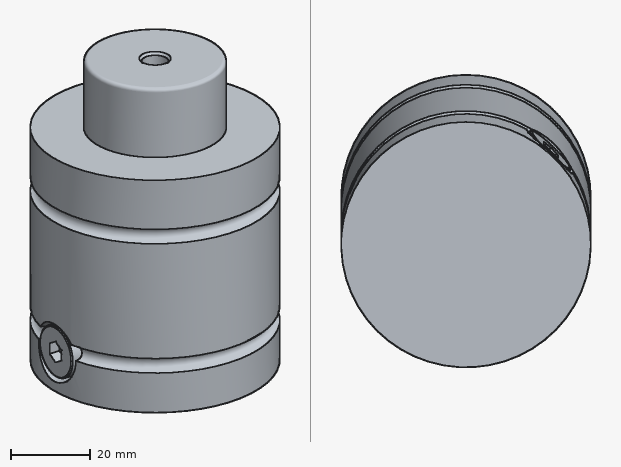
import cadquery as cq
import math

total_height = 84.0
body_diameter = 63.0
body_height = 64.85
rod_diameter = 36.0
rod_fillet = 1.0

groove_width = 4.0
groove_depth = 2.2
groove_heights = (13.1, 49.1)

hole_diameter = 6.8
hole_mouth_diameter = 8.0
hole_mouth_depth = 0.75
hole_depth = 12.6
drill_point_angle = 118.0

plug_height = 10.7
counterbore_diameter = 16.0
counterbore_depth = 5.0
plug_diameter = 14.0
plug_chamfer = 0.3
plug_recess = 0.5
socket_across_flats = 5.0
socket_depth = 3.0

body_radius = body_diameter / 2


def make_body():
    """Stepped cylinder with a rounded rod end."""
    body = cq.Workplane("XY").circle(body_radius).extrude(body_height)
    rod = cq.Workplane("XY").circle(rod_diameter / 2).extrude(total_height)
    return body.union(rod.faces(">Z").edges().fillet(rod_fillet))


def make_groove(height):
    """Ring with a semicircular bottom and short straight walls at the body surface."""
    radius = groove_width / 2
    wall_start = body_radius - groove_depth + radius
    cutter_edge = body_radius + radius
    return (
        cq.Workplane("XZ")
        .moveTo(cutter_edge, height - radius)
        .lineTo(wall_start, height - radius)
        .threePointArc((body_radius - groove_depth, height), (wall_start, height + radius))
        .lineTo(cutter_edge, height + radius)
        .close()
        .revolve(360, (0, 0), (0, 1))
    )


def make_rod_hole():
    """Drilled hole with a chamfered mouth and a conical bottom."""
    radius = hole_diameter / 2
    mouth_radius = hole_mouth_diameter / 2
    chamfer_bottom = total_height - hole_mouth_depth
    hole_floor = total_height - hole_depth
    point_length = radius / math.tan(math.radians(drill_point_angle / 2))
    return (
        cq.Workplane("XZ")
        .moveTo(0, total_height)
        .lineTo(mouth_radius, total_height)
        .lineTo(radius, chamfer_bottom)
        .lineTo(radius, hole_floor)
        .lineTo(0, hole_floor - point_length)
        .close()
        .revolve(360, (0, 0), (0, 1))
    )


def side_plane(depth):
    """Plane facing -Y at the plug axis, sunk below the body surface by depth."""
    origin = (0, depth - body_radius, plug_height)
    return cq.Workplane(cq.Plane(origin=origin, xDir=(1, 0, 0), normal=(0, -1, 0)))


def make_plug():
    """Chamfered round plug with a hexagon socket, seated on the counterbore floor."""
    socket_diameter = socket_across_flats / math.cos(math.pi / 6)
    plug_length = counterbore_depth - plug_recess
    plug = side_plane(counterbore_depth).circle(plug_diameter / 2).extrude(plug_length)
    plug = plug.faces("<Y").chamfer(plug_chamfer)
    socket = (
        side_plane(plug_recess)
        .transformed(rotate=(0, 0, 90))
        .polygon(6, socket_diameter)
        .extrude(-socket_depth)
    )
    return plug.cut(socket)


result = make_body().cut(make_rod_hole())
for groove_height in groove_heights:
    result = result.cut(make_groove(groove_height))

counterbore = side_plane(0).circle(counterbore_diameter / 2).extrude(-counterbore_depth)
result = result.cut(counterbore).union(make_plug())